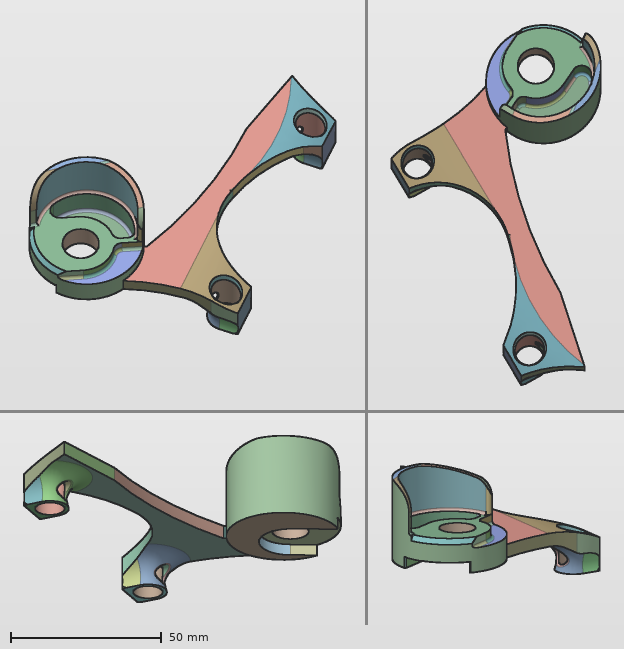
import cadquery as cq
import math

ARM_THICKNESS = 4.6
POST_DEPTH = 11.3
STEP_Z = 8.4
LEDGE_Z = 11.8
CUP_HEIGHT = 28.04

CUP_RADIUS = 38.1 / 2
WALL_INNER_RADIUS = 17.0
ROOT_FILLET = 1.0
PIVOT = (3.9, -3.24)
PIVOT_HOLE_DIAMETER = 12.12
LEVER_TILT = 12.5
HUB_RADIUS = 11.15
LEDGE_CHAMFER_WIDTH = 1.5
LEDGE_CHAMFER_HEIGHT = 1.75

STEP_OFFSET = 0.78
STEP_CORNER_FILLET = 3.0

FRONT_END_X = -8.2
FRONT_END_RADIUS = 8.4
BACK_SLOPE_START_X = -14.4
BACK_SLOPE_START_RADIUS = 4.3
BACK_SLOPE = 13.2
BACK_END_X = 9.2
BACK_END_RADIUS = 6.8
BACK_EDGE_FILLET = 1.2

PIT_RADIUS = WALL_INNER_RADIUS - ROOT_FILLET
PIT_FLOOR_Z = 3.0
PIT_END_GAP = 2.0
PIT_CORNER_RADIUS = 2.7
PIT_TIP_RADIUS = 3.2

LEVER_RADIUS = 10.45
LEVER_RECESS_HEIGHT = 3.8
LEVER_MOUTH_CHAMFER = 0.6

LEFT_MOUNT = (-28.23, 86.14)
RIGHT_MOUNT = (29.6, 39.3)
MOUNTS = (LEFT_MOUNT, RIGHT_MOUNT)
MOUNT_BORE_DIAMETER = 9.8
BORE_CHAMFER_WIDTH = 0.6
BORE_CHAMFER_DEPTH = 1.6
MOUNT_FACE_OFFSET = 6.68
MOUNT_FACE_HALF_WIDTH = 5.95

POST_WAIST_RADIUS = 5.75
POST_COVE_RADIUS = 8.3
WINDOW_DIAMETER = 6.1
WINDOW_Z = -5.9
WINDOW_FILLET = 0.7

LEFT_BEND_RADIUS = 32.0
LEFT_BEND_LINE_RADIUS = 66.0
LEFT_BEND_CENTER = (10.2, -74.0)
LEFT_BEND_SPREAD = 48.0
RIGHT_BEND_RADIUS = 48.7
RIGHT_BEND_LINE = -13.7
RIGHT_BEND_START = -27.0
RIGHT_BEND_LENGTH = 40.0
BEND_REACH = 22.0

TIP = (-47.67, 85.75)
TIP_EDGE_MID = (-38.0, 89.4)
INNER_STRAIGHT_END = (-19.4, 81.0)
INNER_CURVE_MID = (-16.4, 67.9)
INNER_CURVE_END = (-8.1, 53.2)
SADDLE_MID = (12.6, 42.35)
RIGHT_SHOULDER_MID = (36.3, 36.9)
RIGHT_SHOULDER_END = (33.0, 33.0)
RIGHT_SIDE_MID = (24.6, 22.1)
RIGHT_SIDE_END = (17.0, 5.5)
LEFT_SIDE_END = (6.2, 19.0)
LEFT_SIDE_MID = (-10.84, 44.85)
LEFT_SIDE_START = (-31.0, 64.8)

mount_dx = RIGHT_MOUNT[0] - LEFT_MOUNT[0]
mount_dy = RIGHT_MOUNT[1] - LEFT_MOUNT[1]
MOUNT_SPAN = math.hypot(mount_dx, mount_dy)
MOUNT_ANGLE = math.degrees(math.atan2(mount_dy, mount_dx))


def disc(radius, z, height):
    return cq.Workplane("XY", origin=(0, 0, z)).circle(radius).extrude(height)


def revolve_about_z(section, angle=360):
    return section.revolve(angle, (0, 0, 0), (0, 1, 0))


def place_at_mount(shape, mount):
    """Turn a shape built along the X axis onto the mount line and move it to a mount."""
    return shape.rotate((0, 0, 0), (0, 0, 1), MOUNT_ANGLE).translate((*mount, 0))


def from_mount(mount, along, outward):
    """Point given by its distances along the mount line and outward from it."""
    point = place_at_mount(cq.Vertex.makeVertex(along, outward, 0), mount)
    return (point.X, point.Y)


def arm_prism():
    """Arm outline through the full depth of plate and posts; it runs into the cup's axis."""
    left_outer = from_mount(LEFT_MOUNT, -MOUNT_FACE_HALF_WIDTH, MOUNT_FACE_OFFSET)
    left_inner = from_mount(LEFT_MOUNT, MOUNT_FACE_HALF_WIDTH, MOUNT_FACE_OFFSET)
    right_inner = from_mount(RIGHT_MOUNT, -MOUNT_FACE_HALF_WIDTH, MOUNT_FACE_OFFSET)
    right_outer = from_mount(RIGHT_MOUNT, MOUNT_FACE_HALF_WIDTH, MOUNT_FACE_OFFSET)
    return (
        cq.Workplane("XY", origin=(0, 0, -POST_DEPTH))
        .moveTo(*TIP)
        .threePointArc(TIP_EDGE_MID, left_outer)
        .lineTo(*left_inner)
        .lineTo(*INNER_STRAIGHT_END)
        .threePointArc(INNER_CURVE_MID, INNER_CURVE_END)
        .threePointArc(SADDLE_MID, right_inner)
        .lineTo(*right_outer)
        .threePointArc(RIGHT_SHOULDER_MID, RIGHT_SHOULDER_END)
        .threePointArc(RIGHT_SIDE_MID, RIGHT_SIDE_END)
        .lineTo(0, 0)
        .lineTo(*LEFT_SIDE_END)
        .threePointArc(LEFT_SIDE_MID, LEFT_SIDE_START)
        .close()
        .extrude(POST_DEPTH + ARM_THICKNESS)
    )


def bend_section(start):
    """Section above an arc that leaves the arm's top face tangentially at `start`."""
    distance, radius = start

    def arc_point(run):
        return (distance + run, ARM_THICKNESS - radius + math.sqrt(radius**2 - run**2))

    above = 2 * ARM_THICKNESS
    return (
        cq.Workplane("XZ")
        .moveTo(distance, ARM_THICKNESS)
        .threePointArc(arc_point(BEND_REACH / 2), arc_point(BEND_REACH))
        .lineTo(distance + BEND_REACH, above)
        .lineTo(distance, above)
        .close()
    )


def left_bend_cutter():
    """Bend along a curved line, swept evenly to both sides of the outward direction."""
    section = bend_section((LEFT_BEND_LINE_RADIUS, LEFT_BEND_RADIUS))
    sector = revolve_about_z(section, LEFT_BEND_SPREAD)
    middle = sector.val().Center()
    turn = 90 - math.degrees(math.atan2(middle.y, middle.x))
    sector = sector.rotate((0, 0, 0), (0, 0, 1), turn).translate((*LEFT_BEND_CENTER, 0))
    return place_at_mount(sector, LEFT_MOUNT)


def right_bend_cutter():
    """Bend along a straight line parallel to the mount line."""
    bend = bend_section((RIGHT_BEND_LINE, RIGHT_BEND_RADIUS)).extrude(RIGHT_BEND_LENGTH)
    bend = bend.rotate((0, 0, 0), (0, 0, 1), 90).translate((RIGHT_BEND_START, 0, 0))
    return place_at_mount(bend, RIGHT_MOUNT)


def post_half_section():
    """Half section of a post: a cove that starts flush under the arm and flares again at the foot."""
    flare_radius = POST_WAIST_RADIUS + POST_COVE_RADIUS
    foot_height = POST_DEPTH - POST_COVE_RADIUS
    foot_radius = flare_radius - math.sqrt(POST_COVE_RADIUS**2 - foot_height**2)
    return (
        cq.Workplane("XZ")
        .moveTo(0, 0)
        .lineTo(flare_radius, 0)
        .threePointArc((POST_WAIST_RADIUS, -POST_COVE_RADIUS), (foot_radius, -POST_DEPTH))
        .lineTo(0, -POST_DEPTH)
        .close()
    )


def mount_post():
    """Post at the origin: round and windowed behind, straight-sided toward its mount face."""
    window_length = POST_WAIST_RADIUS + POST_COVE_RADIUS
    window = cq.Workplane("XZ", origin=(0, 0, WINDOW_Z)).circle(WINDOW_DIAMETER / 2)
    round_part = revolve_about_z(post_half_section()).cut(window.extrude(window_length))
    reach = WINDOW_DIAMETER / 2 + WINDOW_FILLET
    mouth = cq.selectors.BoxSelector(
        (-reach, -window_length, WINDOW_Z - reach),
        (reach, -MOUNT_BORE_DIAMETER / 2, WINDOW_Z + reach),
    )
    round_part = round_part.edges(mouth).edges("not %LINE").fillet(WINDOW_FILLET)

    straight_half = post_half_section().extrude(-MOUNT_FACE_OFFSET)
    straight_part = straight_half.union(straight_half.mirror("YZ"))
    bore = disc(MOUNT_BORE_DIAMETER / 2, -POST_DEPTH, POST_DEPTH)
    return round_part.union(straight_part).cut(bore)


def build_arm():
    arm = arm_prism().cut(left_bend_cutter()).cut(right_bend_cutter())
    slab_size = 6 * MOUNT_SPAN
    plate_and_posts = cq.Workplane("XY").rect(slab_size, slab_size).extrude(ARM_THICKNESS)
    post = mount_post()
    bore = disc(MOUNT_BORE_DIAMETER / 2, -POST_DEPTH, POST_DEPTH + ARM_THICKNESS)
    for x, y in MOUNTS:
        plate_and_posts = plate_and_posts.union(place_at_mount(post, (x, y)))
        arm = arm.cut(bore.translate((x, y, 0)))
        rim = cq.selectors.BoxSelector((x - 1, y - 1, 0), (x + 1, y + 1, ARM_THICKNESS))
        arm = arm.edges(rim).chamfer(BORE_CHAMFER_WIDTH, BORE_CHAMFER_DEPTH)
    return arm.intersect(plate_and_posts).cut(disc(CUP_RADIUS, 0, CUP_HEIGHT))


def place_at_pivot(shape):
    """Tilt a shape built around the origin like the lever and move it to the pivot."""
    return shape.rotate((0, 0, 0), (0, 0, 1), -LEVER_TILT).translate((*PIVOT, 0))


def lever_slot(radius, z, height):
    """Round-ended slot around the pivot that runs out toward the front."""
    length = 2 * CUP_RADIUS
    slot = (
        cq.Workplane("XY", origin=(0, 0, z))
        .moveTo(-radius, 0)
        .threePointArc((0, radius), (radius, 0))
        .lineTo(radius, -length)
        .lineTo(-radius, -length)
        .close()
        .extrude(height)
    )
    return place_at_pivot(slot)


def left_of_lever_line(offset, z, height):
    """Block on the left of a line along the lever, `offset` to the right of the pivot."""
    size = 4 * CUP_RADIUS
    block = cq.Workplane("XY", origin=(offset - size / 2, 0, z)).rect(size, size).extrude(height)
    return place_at_pivot(block)


def stepped_base():
    """Disc whose ledge stands above a lower shelf, with filleted corners at the step."""
    ledge = left_of_lever_line(STEP_OFFSET, 0, LEDGE_Z).union(lever_slot(HUB_RADIUS, 0, LEDGE_Z))
    hub_top = PIVOT[1] + HUB_RADIUS
    step_corner = cq.selectors.BoxSelector(
        (PIVOT[0], hub_top - HUB_RADIUS / 4, 0), (HUB_RADIUS, hub_top + HUB_RADIUS / 4, LEDGE_Z)
    )
    ledge = ledge.edges("|Z").edges(step_corner).fillet(STEP_CORNER_FILLET)
    base = disc(CUP_RADIUS, 0, STEP_Z).union(disc(CUP_RADIUS, 0, LEDGE_Z).intersect(ledge))
    step_foot = cq.selectors.BoxSelector(
        (PIVOT[0], -CUP_RADIUS, STEP_Z - ROOT_FILLET / 2),
        (PIVOT[0] + HUB_RADIUS, CUP_RADIUS, STEP_Z + ROOT_FILLET / 2),
    )
    return base.edges(step_foot).fillet(ROOT_FILLET)


def ledge_rim_chamfer():
    """Cutter that bevels the open rim of the ledge, from the wall's front end to the step."""
    section = (
        cq.Workplane("XZ")
        .moveTo(CUP_RADIUS, LEDGE_Z - LEDGE_CHAMFER_HEIGHT)
        .lineTo(CUP_RADIUS, LEDGE_Z)
        .lineTo(CUP_RADIUS - LEDGE_CHAMFER_WIDTH, LEDGE_Z)
        .close()
    )
    start_x = FRONT_END_X + ROOT_FILLET
    open_side = (
        cq.Workplane("XY")
        .rect(CUP_RADIUS - start_x, -CUP_RADIUS, centered=False)
        .extrude(CUP_HEIGHT)
        .translate((start_x, 0, 0))
    )
    return revolve_about_z(section).intersect(open_side)


def wall_front_outline():
    """Block under the rim's front half: level, then rounded down to a filleted front end."""
    return (
        cq.Workplane("XZ")
        .moveTo(-CUP_RADIUS, LEDGE_Z)
        .lineTo(-CUP_RADIUS, CUP_HEIGHT)
        .lineTo(FRONT_END_X - FRONT_END_RADIUS, CUP_HEIGHT)
        .radiusArc((FRONT_END_X, CUP_HEIGHT - FRONT_END_RADIUS), FRONT_END_RADIUS)
        .lineTo(FRONT_END_X, LEDGE_Z + ROOT_FILLET)
        .radiusArc((FRONT_END_X + ROOT_FILLET, LEDGE_Z), -ROOT_FILLET)
        .close()
        .extrude(CUP_RADIUS)
    )


def wall_back_outline():
    """Block under the rim's back half: level, then sloping and rounded down to the back end."""
    slope_run = BACK_END_X - BACK_SLOPE_START_X
    corner_z = CUP_HEIGHT - slope_run * math.tan(math.radians(BACK_SLOPE))
    block = (
        cq.Workplane("XZ")
        .moveTo(-CUP_RADIUS, LEDGE_Z)
        .lineTo(-CUP_RADIUS, CUP_HEIGHT)
        .lineTo(BACK_SLOPE_START_X, CUP_HEIGHT)
        .lineTo(BACK_END_X, corner_z)
        .lineTo(BACK_END_X, LEDGE_Z)
        .close()
        .extrude(-CUP_RADIUS)
    )
    mid_y = CUP_RADIUS / 2
    slope_start = cq.selectors.NearestToPointSelector((BACK_SLOPE_START_X, mid_y, CUP_HEIGHT))
    slope_end = cq.selectors.NearestToPointSelector((BACK_END_X, mid_y, corner_z))
    block = block.edges("|Y").edges(slope_start).fillet(BACK_SLOPE_START_RADIUS)
    return block.edges("|Y").edges(slope_end).fillet(BACK_END_RADIUS)


def high_wall():
    """Ring wall with a filleted root, cut to its rim and rounded at its back end."""
    height = CUP_HEIGHT - LEDGE_Z
    ring = disc(CUP_RADIUS, LEDGE_Z, height).cut(disc(WALL_INNER_RADIUS, LEDGE_Z, height))
    ring = ring.intersect(left_of_lever_line(STEP_OFFSET, LEDGE_Z, height))
    back_inner_edge = cq.selectors.BoxSelector(
        (PIVOT[0], 0, LEDGE_Z), (BACK_END_X, PIT_RADIUS, CUP_HEIGHT)
    )
    ring = ring.edges("|Z").edges(back_inner_edge).fillet(BACK_EDGE_FILLET)
    root_section = (
        cq.Workplane("XZ")
        .moveTo(WALL_INNER_RADIUS, LEDGE_Z)
        .lineTo(WALL_INNER_RADIUS, LEDGE_Z + ROOT_FILLET)
        .radiusArc((PIT_RADIUS, LEDGE_Z), ROOT_FILLET)
        .close()
    )
    root_end = left_of_lever_line(STEP_OFFSET - BACK_EDGE_FILLET, LEDGE_Z, height)
    root = revolve_about_z(root_section).intersect(root_end)
    return ring.union(root).intersect(wall_front_outline().union(wall_back_outline()))


def pit():
    """Crescent pocket that follows the wall and the hub, with a filleted floor."""
    height = LEDGE_Z - PIT_FLOOR_Z
    pocket = (
        disc(PIT_RADIUS, PIT_FLOOR_Z, height)
        .cut(lever_slot(HUB_RADIUS, PIT_FLOOR_Z, height))
        .intersect(left_of_lever_line(STEP_OFFSET - PIT_END_GAP, PIT_FLOOR_Z, height))
    )
    tip = cq.selectors.BoxSelector((-CUP_RADIUS, -CUP_RADIUS, 0), (0, -HUB_RADIUS / 2, LEDGE_Z))
    end_corners = cq.selectors.BoxSelector((0, 0, 0), (CUP_RADIUS, CUP_RADIUS, LEDGE_Z))
    pocket = pocket.edges("|Z").edges(tip).fillet(PIT_TIP_RADIUS)
    pocket = pocket.edges("|Z").edges(end_corners).fillet(PIT_CORNER_RADIUS)
    return pocket.faces("<Z").edges().fillet(ROOT_FILLET)


def build_cup():
    cup = stepped_base().cut(ledge_rim_chamfer()).union(high_wall()).cut(pit())
    cup = cup.cut(lever_slot(LEVER_RADIUS, 0, LEVER_RECESS_HEIGHT))
    mouth = cq.selectors.BoxSelector(
        (-CUP_RADIUS, -CUP_RADIUS, 0), (CUP_RADIUS, PIVOT[1] - LEVER_RADIUS / 2, LEVER_RECESS_HEIGHT)
    )
    cup = cup.edges("|Z").edges(mouth).chamfer(LEVER_MOUTH_CHAMFER)
    pivot_hole = disc(PIVOT_HOLE_DIAMETER / 2, 0, LEDGE_Z).translate((*PIVOT, 0))
    return cup.cut(pivot_hole)


arm = build_arm()
cup = build_cup()
result = cq.Compound.makeCompound([*arm.solids().vals(), *cup.solids().vals()])